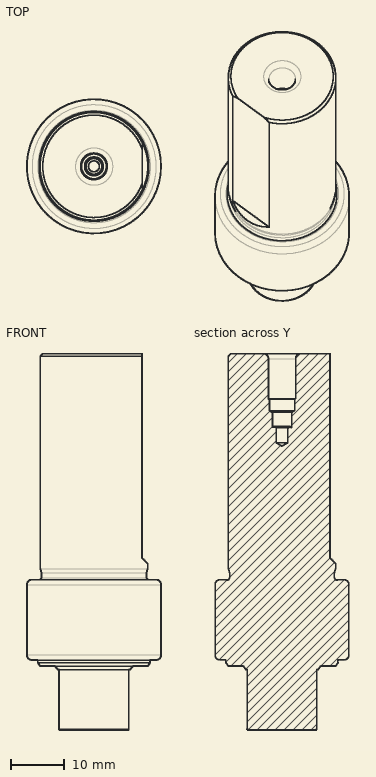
import cadquery as cq
import math

total_height = 70.0
collar_bottom = 13.0
collar_top = 28.0

collar_radius = 25.0 / 2
collar_fillet = 1.0

shank_radius = 20.0 / 2
shank_chamfer = 0.5

groove_top = 30.0
groove_depth = 0.2
groove_taper_height = 0.8
groove_corner_radius = 0.4
groove_corner_rise = 0.35
groove_outer_radius = 20.9 / 2

ring_radius = 20.9 / 2
ring_height = 1.1
ring_chamfer_width = 0.455
ring_chamfer_height = 0.6

pin_radius = 13.0 / 2
pin_chamfer = 0.175
root_top_radius = 14.5 / 2
root_bottom_radius = 13.5 / 2
root_height = 0.6

flat_x = 8.95
flat_bottom = 32.0

bore_radius = 5.0 / 2
bore_depth = 8.4
mouth_fillet = 1.0
core_radius = 4.6 / 2
core_depth = 2.1
step_radius = 3.5 / 2
step_depth = 2.8
rim_radius = 2.95 / 2
rim_height = 0.2
pilot_radius = 2.0 / 2
pilot_depth = 2.8
cone_half_angle = 60.0


def make_body():
    """Revolve the outer profile, drawn upward from the pin end, about Z."""
    ring_bottom = collar_bottom - ring_height
    root_bottom = ring_bottom - root_height
    groove_radius = shank_radius - groove_depth
    corner_center_x = groove_radius + groove_corner_radius
    corner_center_z = collar_top + groove_corner_rise
    corner_bottom_z = corner_center_z - groove_corner_radius
    corner_diagonal = groove_corner_radius * math.sqrt(0.5)
    fillet_diagonal = collar_fillet * math.sqrt(0.5)
    fillet_center_x = collar_radius - collar_fillet
    low_fillet_z = collar_bottom + collar_fillet
    high_fillet_z = collar_top - collar_fillet

    profile = (
        cq.Workplane("XZ")
        .moveTo(0, 0)
        .lineTo(pin_radius - pin_chamfer, 0)
        .lineTo(pin_radius, pin_chamfer)
        .lineTo(pin_radius, root_bottom)
        .lineTo(root_bottom_radius, root_bottom)
        .lineTo(root_top_radius, ring_bottom)
        .lineTo(ring_radius - ring_chamfer_width, ring_bottom)
        .lineTo(ring_radius, ring_bottom + ring_chamfer_height)
        .lineTo(ring_radius, collar_bottom)
        .lineTo(fillet_center_x, collar_bottom)
        .threePointArc(
            (fillet_center_x + fillet_diagonal, low_fillet_z - fillet_diagonal),
            (collar_radius, low_fillet_z),
        )
        .lineTo(collar_radius, high_fillet_z)
        .threePointArc(
            (fillet_center_x + fillet_diagonal, high_fillet_z + fillet_diagonal),
            (fillet_center_x, collar_top),
        )
        .lineTo(groove_outer_radius, collar_top)
        .lineTo(corner_center_x, corner_bottom_z)
        .threePointArc(
            (corner_center_x - corner_diagonal, corner_center_z - corner_diagonal),
            (groove_radius, corner_center_z),
        )
        .lineTo(groove_radius, groove_top - groove_taper_height)
        .lineTo(shank_radius, groove_top)
        .lineTo(shank_radius, total_height - shank_chamfer)
        .lineTo(shank_radius - shank_chamfer, total_height)
        .lineTo(0, total_height)
        .close()
    )
    return profile.revolve(360, (0, 0, 0), (0, 1, 0))


def make_flat_cutter():
    """Prism beyond the flat, with a 45 degree lower end."""
    reach = collar_radius - flat_x
    return (
        cq.Workplane("XZ")
        .moveTo(flat_x, total_height)
        .lineTo(flat_x, flat_bottom)
        .lineTo(flat_x + reach, flat_bottom - reach)
        .lineTo(flat_x + reach, total_height)
        .close()
        .extrude(collar_radius, both=True)
    )


def make_hole_cutter():
    """Rounded mouth, bore, core, step and pilot; a raised conical rim surrounds the pilot."""
    def cone_height(upper_radius, lower_radius):
        return (upper_radius - lower_radius) / math.tan(math.radians(cone_half_angle))

    mouth_diagonal = mouth_fillet * math.sqrt(0.5)
    mouth_radius = bore_radius + mouth_fillet
    mouth_bottom = total_height - mouth_fillet
    bore_bottom = total_height - bore_depth
    core_top = bore_bottom - cone_height(bore_radius, core_radius)
    core_bottom = core_top - core_depth
    step_top = core_bottom - cone_height(core_radius, step_radius)
    step_bottom = step_top - step_depth
    rim_top = step_bottom + rim_height
    pilot_top = rim_top - cone_height(rim_radius, pilot_radius)
    pilot_bottom = pilot_top - pilot_depth
    tip = pilot_bottom - cone_height(pilot_radius, 0)

    profile = (
        cq.Workplane("XZ")
        .moveTo(0, total_height)
        .lineTo(mouth_radius, total_height)
        .threePointArc(
            (mouth_radius - mouth_diagonal, mouth_bottom + mouth_diagonal),
            (bore_radius, mouth_bottom),
        )
        .lineTo(bore_radius, bore_bottom)
        .lineTo(core_radius, core_top)
        .lineTo(core_radius, core_bottom)
        .lineTo(step_radius, step_top)
        .lineTo(step_radius, step_bottom)
        .lineTo(rim_radius, rim_top)
        .lineTo(pilot_radius, pilot_top)
        .lineTo(pilot_radius, pilot_bottom)
        .lineTo(0, tip)
        .close()
    )
    return profile.revolve(360, (0, 0, 0), (0, 1, 0))


result = make_body().cut(make_flat_cutter()).cut(make_hole_cutter())